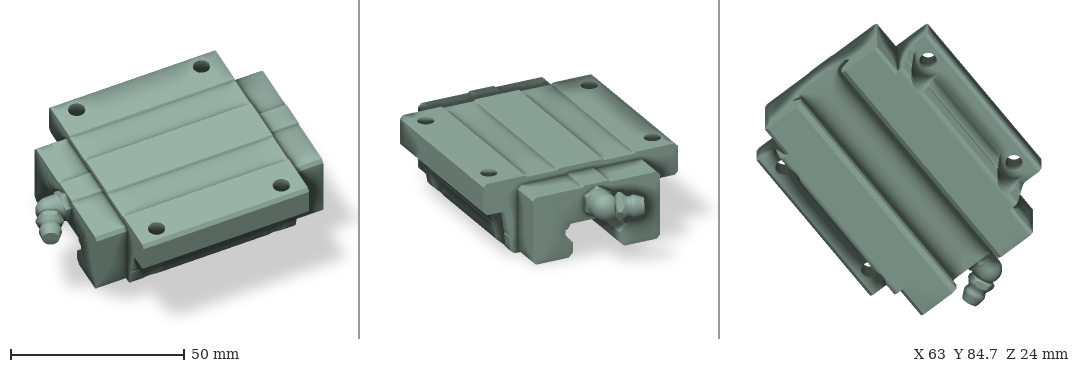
import cadquery as cq
import math


block_width = 63.0
block_length = 53.0
block_height = 24.0
flange_underside = 14.0
edge_chamfer = 1.0
skirt_half_width = 22.45
wall_angle = 10.0
wall_slope = math.tan(math.radians(wall_angle))
flange_fillet = 1.5
skirt_fillet = 1.7

pad_step = 0.5
centre_pad_half_width = 7.0
outer_pad_inner_edge = 17.95
wall_groove_top = 6.95
wall_groove_bottom = 5.6
wall_groove_depth = 0.25

hole_pitch_x = 53.0
hole_pitch_y = 40.0
hole_diameter = 5.0
screw_relief_radius = 4.8

cap_half_width = 20.6
cap_length = 9.8
cap_height = 21.35
cap_ridge_rise = 0.5
cap_ridge_half_width = 4.0
cap_face_y = -(block_length / 2 + cap_length)
screw_mark_diameter = 6.3
screw_mark_offset = 10.1
screw_mark_depth = 0.1

channel_height = 10.7
roof_half_width = 8.4
upper_lip_half_width = 9.4
upper_lip_height = 9.15
race_half_width = 10.1
race_top = 8.9
race_bottom = 6.8
lower_lip_half_width = 9.2
lower_lip_height = 6.5
race_sag = 0.2
throat_half_width = 7.5
throat_top = 4.6
throat_chamfer = 1.4

nipple_z = 16.5
hex_twelfth_turn = 30
base_hex_flats = 8.05
base_hex_length = 2.0
elbow_length = 3.2
elbow_radius = base_hex_flats / 2
base_corner_radius = base_hex_flats / math.sqrt(3)
base_hex_chamfer = 0.3
base_hex_face_radius = 4.2
arm_angle = 23.5
nut_flats = 7.1
nut_start = 3.05
nut_end = 5.4
nut_corner_radius = nut_flats / math.sqrt(3)
nut_inner_face_radius = 3.1
nut_outer_face_radius = 3.55
nut_inner_chamfer = 0.8
nut_outer_chamfer = 0.7
neck_start = 6.5
neck_end = 7.3
neck_radius = 2.9
head_shoulder = 8.6
head_radius = 3.3
head_bulge_at = 7.9
head_bulge_radius = 3.2
tip_radius = 2.45

overall_length = 84.7
ball_y = cap_face_y - base_hex_length - elbow_length
tip_reach_y = overall_length - (block_length / 2 + cap_length) + ball_y
tip_rim_y = tip_radius * math.cos(math.radians(arm_angle))
arm_length = (tip_reach_y - tip_rim_y) / math.sin(math.radians(arm_angle))


def extrude_along_y(profile, length):
    """Extrude an XZ outline by length, centred on Y = 0."""
    return profile.extrude(length / 2, both=True)


def wall_x(z):
    """Half width of the sloping skirt wall at height z."""
    return skirt_half_width + z * wall_slope


def make_steel_block():
    half = block_width / 2
    profile = (
        cq.Workplane("XZ")
        .moveTo(-wall_x(0), 0)
        .lineTo(wall_x(0), 0)
        .lineTo(wall_x(flange_underside), flange_underside)
        .lineTo(half, flange_underside)
        .lineTo(half, block_height)
        .lineTo(-half, block_height)
        .lineTo(-half, flange_underside)
        .lineTo(-wall_x(flange_underside), flange_underside)
        .close()
    )
    block = extrude_along_y(profile, block_length)
    block = block.edges("|Y and (<X or >X)").chamfer(edge_chamfer)
    block = block.edges("|Y and <Z").fillet(skirt_fillet)
    under_flange = cq.selectors.BoxSelector(
        (-wall_x(block_height), -block_length, flange_underside - edge_chamfer / 2),
        (wall_x(block_height), block_length, flange_underside + edge_chamfer / 2),
    )
    return block.edges("|Y").edges(under_flange).fillet(flange_fillet)


def make_top_channel(side):
    """Shallow channel between the centre pad and one outer pad, with 45 degree sides."""
    floor_z = block_height - pad_step
    profile = (
        cq.Workplane("XZ")
        .moveTo(side * centre_pad_half_width, block_height)
        .lineTo(side * (centre_pad_half_width + pad_step), floor_z)
        .lineTo(side * (outer_pad_inner_edge - pad_step), floor_z)
        .lineTo(side * outer_pad_inner_edge, block_height)
        .close()
    )
    return extrude_along_y(profile, block_length)


def make_wall_groove(side):
    """Shallow rounded groove along one sloping skirt wall."""
    middle_z = (wall_groove_top + wall_groove_bottom) / 2
    profile = (
        cq.Workplane("XZ")
        .moveTo(side * wall_x(wall_groove_bottom), wall_groove_bottom)
        .threePointArc(
            (side * (wall_x(middle_z) - wall_groove_depth), middle_z),
            (side * wall_x(wall_groove_top), wall_groove_top),
        )
        .close()
    )
    return extrude_along_y(profile, block_length)


def make_hole_cutters():
    """Through holes with round screw-head reliefs in the skirt below the flange."""
    centres = cq.Workplane("XY").rarray(hole_pitch_x, hole_pitch_y, 2, 2)
    holes = centres.circle(hole_diameter / 2).extrude(block_height)
    reliefs = centres.circle(screw_relief_radius).extrude(flange_underside)
    return holes.union(reliefs)


def make_end_cap(end):
    """End cap with a low central ridge; end is -1 for the -Y cap and +1 for the +Y cap."""
    body = (
        cq.Workplane("XY")
        .box(2 * cap_half_width, cap_length, cap_height, centered=(True, True, False))
        .edges("|Y")
        .chamfer(edge_chamfer)
    )
    ridge_foot = cap_ridge_half_width + cap_ridge_rise
    ridge_profile = (
        cq.Workplane("XZ")
        .moveTo(-ridge_foot, cap_height)
        .lineTo(ridge_foot, cap_height)
        .lineTo(cap_ridge_half_width, cap_height + cap_ridge_rise)
        .lineTo(-cap_ridge_half_width, cap_height + cap_ridge_rise)
        .close()
    )
    cap = body.union(extrude_along_y(ridge_profile, cap_length))
    return cap.translate((0, end * (block_length + cap_length) / 2, 0))


def make_rail_channel():
    """Rail clearance with ball races, cut through the block and both caps."""
    roof_corner = (roof_half_width, channel_height)
    upper_lip = (upper_lip_half_width, upper_lip_height)
    lower_lip = (lower_lip_half_width, lower_lip_height)
    throat_corner = (throat_half_width, throat_top)
    half_profile = (
        cq.Workplane("XZ")
        .lineTo(throat_half_width + throat_chamfer, 0)
        .lineTo(throat_half_width, throat_chamfer)
        .lineTo(*throat_corner)
        .sagittaArc(lower_lip, -race_sag)
        .lineTo(race_half_width, race_bottom)
        .lineTo(race_half_width, race_top)
        .lineTo(*upper_lip)
        .sagittaArc(roof_corner, race_sag)
        .lineTo(0, channel_height)
        .close()
    )
    half = extrude_along_y(half_profile, block_length + 2 * cap_length)
    return half.union(half.mirror("YZ"))


def make_screw_marks():
    """Barely sunk round screw seats on the face of the -Y cap."""
    return (
        cq.Workplane("XZ", origin=(0, cap_face_y, nipple_z))
        .pushPoints([(-screw_mark_offset, 0), (screw_mark_offset, 0)])
        .circle(screw_mark_diameter / 2)
        .extrude(-screw_mark_depth)
    )


def make_carriage():
    body = make_steel_block()
    for side in (-1, 1):
        body = body.cut(make_top_channel(side))
        body = body.cut(make_wall_groove(side))
    body = body.cut(make_hole_cutters())
    for end in (-1, 1):
        body = body.union(make_end_cap(end))
    return body.cut(make_rail_channel()).cut(make_screw_marks())


def make_elbow():
    """Hexagonal foot, round stem and ball; the foot stands on Z = 0 and the stem rises along +Z."""
    foot = (
        cq.Workplane("XY")
        .polygon(6, base_hex_flats, circumscribed=True)
        .extrude(base_hex_length)
        .rotate((0, 0, 0), (0, 0, 1), hex_twelfth_turn)
    )
    foot_envelope = (
        cq.Workplane("XZ")
        .lineTo(base_corner_radius, 0)
        .lineTo(base_corner_radius, base_hex_length - base_hex_chamfer)
        .lineTo(base_hex_face_radius, base_hex_length)
        .lineTo(0, base_hex_length)
        .close()
        .revolve(360, (0, 0, 0), (0, 1, 0))
    )
    ball_height = base_hex_length + elbow_length
    stem = cq.Workplane("XY").circle(elbow_radius).extrude(ball_height)
    ball = cq.Workplane("XY").sphere(elbow_radius).translate((0, 0, ball_height))
    return foot.intersect(foot_envelope).union(stem).union(ball)


def make_arm():
    """Hexagonal nut and greasing head along +X, measured from the ball centre at the origin."""
    nut = (
        cq.Workplane("YZ", origin=(nut_start, 0, 0))
        .polygon(6, nut_flats, circumscribed=True)
        .extrude(nut_end - nut_start)
        .rotate((0, 0, 0), (1, 0, 0), hex_twelfth_turn)
    )
    nut_envelope = (
        cq.Workplane("XY")
        .moveTo(nut_start, 0)
        .lineTo(nut_start, nut_inner_face_radius)
        .lineTo(nut_start + nut_inner_chamfer, nut_corner_radius)
        .lineTo(nut_end - nut_outer_chamfer, nut_corner_radius)
        .lineTo(nut_end, nut_outer_face_radius)
        .lineTo(nut_end, 0)
        .close()
        .revolve(360, (0, 0, 0), (1, 0, 0))
    )
    head = (
        cq.Workplane("XY")
        .moveTo(nut_end, 0)
        .lineTo(nut_end, nut_outer_face_radius)
        .lineTo(neck_start, neck_radius)
        .lineTo(neck_end, neck_radius)
        .threePointArc((head_bulge_at, head_bulge_radius), (head_shoulder, head_radius))
        .lineTo(arm_length, tip_radius)
        .lineTo(arm_length, 0)
        .close()
        .revolve(360, (0, 0, 0), (1, 0, 0))
    )
    return nut.intersect(nut_envelope).union(head)


def make_grease_nipple():
    elbow = (
        make_elbow()
        .rotate((0, 0, 0), (0, 0, 1), 90)
        .rotate((0, 0, 0), (1, 0, 0), 90)
        .translate((0, cap_face_y, nipple_z))
    )
    arm = (
        make_arm()
        .rotate((0, 0, 0), (0, 0, 1), -arm_angle)
        .translate((0, ball_y, nipple_z))
    )
    return elbow.union(arm)


carriage = make_carriage()
grease_nipple = make_grease_nipple()

result = cq.Compound.makeCompound([carriage.val(), grease_nipple.val()])